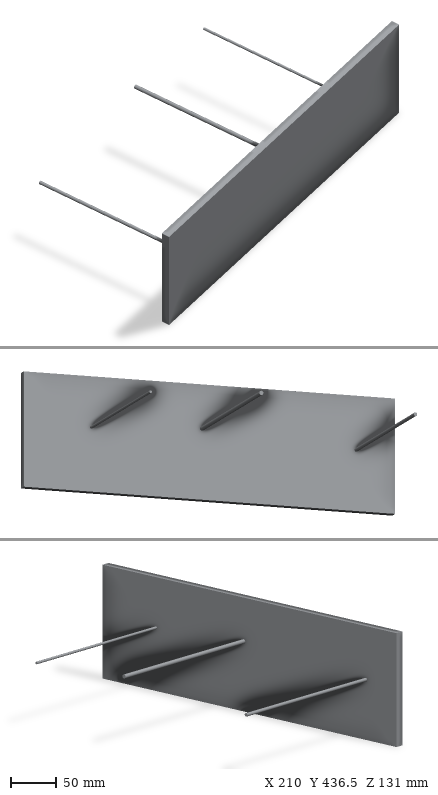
import cadquery as cq

plate_length = 436.5
plate_height = 131.0
overall_depth = 210.0
plate_thickness = 10.0
pin_length = overall_depth - plate_thickness

pins = [
    (139.0, 7.5, 3.0),
    (8.7, 15.3, 5.0),
    (-172.5, 4.0, 4.0),
]


def make_plate():
    return cq.Workplane("XY").box(
        plate_thickness, plate_length, plate_height, centered=(False, True, True)
    )


def make_pin(y, z, diameter):
    return (
        cq.Workplane("YZ", origin=(-pin_length, y, z))
        .circle(diameter / 2)
        .extrude(pin_length + plate_thickness / 2)
    )


result = make_plate()
for pin_y, pin_z, pin_diameter in pins:
    result = result.union(make_pin(pin_y, pin_z, pin_diameter))